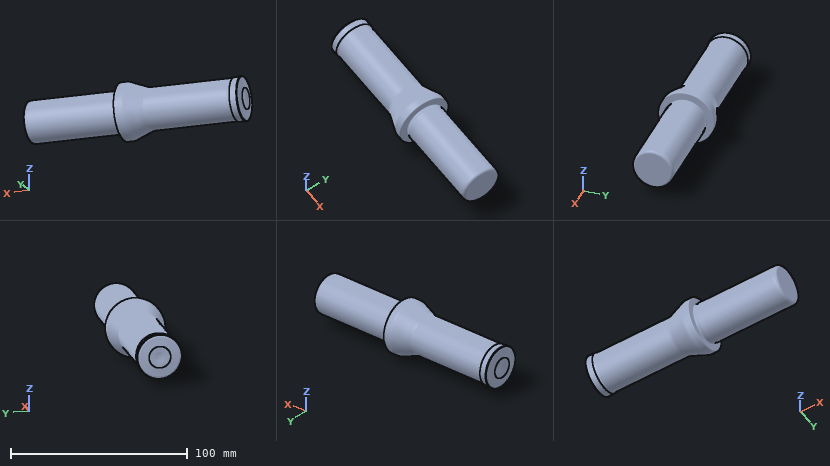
import cadquery as cq

length = 130.0
shaft_radius = 25.0 / 2
neck_radius = 24.5 / 2
collar_radius = 34.0 / 2

cap_length = 5.6
rim_x = 1.3
rim_radius = 13.0
cap_back_radius = 12.7
face_edge_x = 0.5
face_edge_radius = 11.5
face_flat_radius = 9.6
rim_chamfer_x = 0.9
rim_chamfer_radius = 12.7
face_flat_x = 0.4
boss_radius = 6.6
boss_top_radius = 6.2
boss_height = 0.1
dish_radius = 5.1
dish_depth = 0.1
centre_flat_radius = 1.2
centre_cone_radius = 3.1
centre_depth = 0.4

tolerance = 0.01

seat_taper_end = 7.1
collar_taper_start = 57.0
collar_rim_start = 68.9
collar_end = 73.8
collar_foot_blend = 3.9
collar_rim_blend = 3.1
collar_edge_fillet = 0.5
neck_fillet = 0.3
neck_end = 74.9
neck_ramp_end = 76.0
tail_taper_start = 127.4
tail_round_start = 128.5
tail_round_radius = 12.3
tail_bulge_x = 129.5
tail_bulge_radius = 11.8
tail_face_radius = 10.8


def revolve_about_x(profile):
    """Turn a closed half-profile (X, radius) into a solid about the X axis."""
    return profile.close().revolve(360, (0, 0, 0), (1, 0, 0))


def make_cap():
    """Domed cap with a low boss, a shallow dish and a shallow centre cone."""
    profile = (
        cq.Workplane("XY")
        .moveTo(cap_length, cap_back_radius)
        .lineTo(rim_x, rim_radius)
        .lineTo(rim_chamfer_x, rim_chamfer_radius)
        .lineTo(face_edge_x, face_edge_radius)
        .lineTo(face_flat_x, face_flat_radius)
        .lineTo(boss_height, boss_radius)
        .lineTo(0, boss_top_radius)
        .lineTo(0, dish_radius)
        .lineTo(dish_depth, centre_cone_radius)
        .lineTo(centre_depth, centre_flat_radius)
        .lineTo(centre_depth, 0)
        .lineTo(cap_length, 0)
    )
    return revolve_about_x(profile)


def make_shaft():
    """Shaft with a conical collar, a relief neck and a rounded tail."""
    profile = (
        cq.Workplane("XY")
        .moveTo(cap_length, 0)
        .lineTo(cap_length, cap_back_radius)
        .lineTo(seat_taper_end, shaft_radius)
        .lineTo(collar_taper_start, shaft_radius)
        .lineTo(collar_rim_start, collar_radius)
        .lineTo(collar_end, collar_radius)
        .lineTo(collar_end, neck_radius)
        .lineTo(neck_end, neck_radius)
        .lineTo(neck_ramp_end, shaft_radius)
        .lineTo(tail_taper_start, shaft_radius)
        .lineTo(tail_round_start, tail_round_radius)
        .threePointArc((tail_bulge_x, tail_bulge_radius), (length, tail_face_radius))
        .lineTo(length, 0)
    )
    return blend_collar(revolve_about_x(profile))


def round_circle(body, x, radius, fillet_radius):
    """Fillet the circular edge of the given radius at one X position."""
    middle = cq.Vector(x, 0, 0)
    circle = next(
        edge
        for edge in body.edges("%CIRCLE").vals()
        if (edge.arcCenter() - middle).Length < tolerance and abs(edge.radius() - radius) < tolerance
    )
    return body.newObject([circle]).fillet(fillet_radius)


def blend_collar(body):
    """Round both ends of the collar cone, the collar's back edge and its root."""
    body = round_circle(body, collar_taper_start, shaft_radius, collar_foot_blend)
    body = round_circle(body, collar_rim_start, collar_radius, collar_rim_blend)
    body = round_circle(body, collar_end, neck_radius, neck_fillet)
    return round_circle(body, collar_end, collar_radius, collar_edge_fillet)


cap = make_cap()
shaft = make_shaft()
result = cq.Compound.makeCompound([cap.val(), shaft.val()])